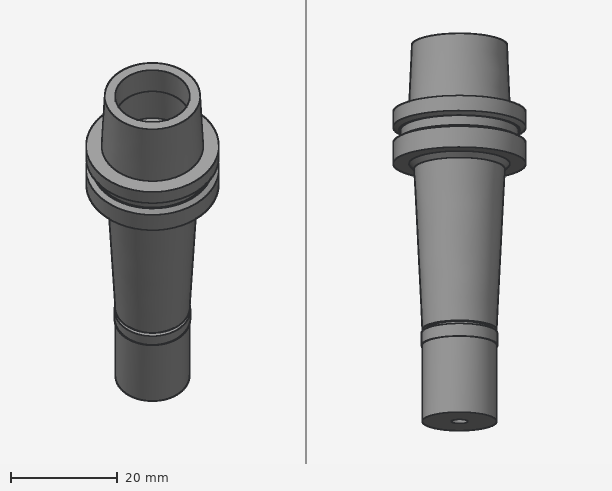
import cadquery as cq

overall_height = 73.0
collar_bottom = 14.75
nut_top = 17.15
neck_height = 0.65
shank_top = 49.0
flange_bottom = 50.0
grip_groove_lower_edge = 54.0
grip_groove_floor_bottom = 54.6
grip_groove_floor_top = 56.5
grip_groove_upper_edge = 57.1
flange_top = 60.0
shank_bottom = nut_top + neck_height

nut_radius = 7.0
collar_radius = 7.15
neck_radius = 6.3
shank_bottom_radius = nut_radius
shank_top_radius = 8.55
flange_root_radius = 9.5
flange_radius = 12.5
grip_groove_radius = 11.1
grip_groove_ledge_radius = 11.4
taper_base_radius = 9.55
taper_top_radius = 9.0

socket_radius = 7.0
socket_lip_depth = 5.55
socket_undercut = 0.45
socket_floor = flange_top
central_bore_radius = 4.1
nut_hole_radius = 1.5


def cylinder(radius, bottom, top):
    """Solid cylinder on the Z axis between two levels."""
    return cq.Workplane("XY").workplane(offset=bottom).circle(radius).extrude(top - bottom)


def make_holder_blank():
    """Tapered shank, grooved flange and clamping taper as one revolved outline."""
    outline = [
        (0, nut_top),
        (neck_radius, nut_top),
        (neck_radius, shank_bottom),
        (shank_bottom_radius, shank_bottom),
        (shank_top_radius, shank_top),
        (flange_root_radius, flange_bottom),
        (flange_radius, flange_bottom),
        (flange_radius, grip_groove_lower_edge),
        (grip_groove_ledge_radius, grip_groove_floor_bottom),
        (grip_groove_radius, grip_groove_floor_bottom),
        (grip_groove_radius, grip_groove_floor_top),
        (grip_groove_ledge_radius, grip_groove_floor_top),
        (flange_radius, grip_groove_upper_edge),
        (flange_radius, flange_top),
        (taper_base_radius, flange_top),
        (taper_top_radius, overall_height),
        (0, overall_height),
    ]
    return cq.Workplane("XZ").polyline(outline).close().revolve(360, (0, 0, 0), (0, 1, 0))


def make_holder():
    """Holder with an undercut clamping socket and a central bore down to the nut."""
    lip_bottom = overall_height - socket_lip_depth
    socket = cylinder(socket_radius, socket_floor, overall_height)
    undercut = cylinder(socket_radius + socket_undercut, socket_floor, lip_bottom)
    central_bore = cylinder(central_bore_radius, nut_top, socket_floor)
    return make_holder_blank().cut(socket).cut(undercut).cut(central_bore)


def make_nut():
    """Collared nut closing the central bore, with a small through hole."""
    sleeve = cylinder(nut_radius, 0, collar_bottom)
    collar = cylinder(collar_radius, collar_bottom, nut_top)
    through_hole = cylinder(nut_hole_radius, 0, nut_top)
    return sleeve.union(collar).cut(through_hole)


holder = make_holder().solids()
nut = make_nut().solids()
result = cq.Compound.makeCompound([holder.val(), nut.val()])